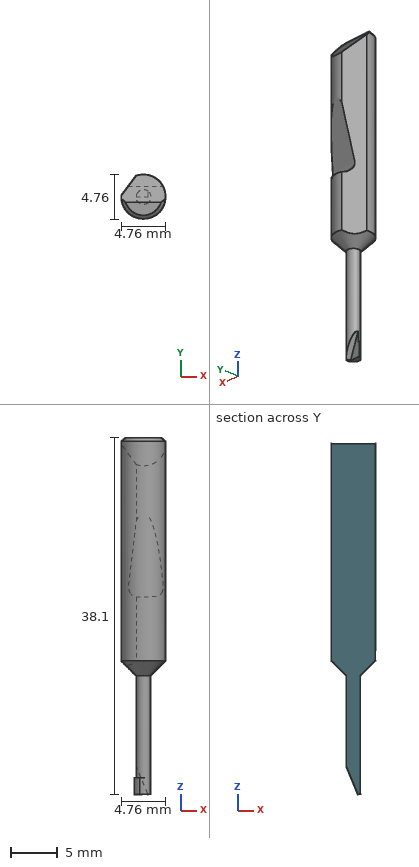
import cadquery as cq
import math


total_length = 38.1
shank_diameter = 4.7625
shank_radius = shank_diameter / 2
neck_length = 12.7
neck_diameter = 1.57
neck_radius = neck_diameter / 2
cone_height = shank_radius - neck_radius
cone_top = neck_length + cone_height
end_chamfer = 0.4

flat_distance = 1.974
flat_direction = 143.0

bevel_start_y = -0.6

notch_top = 30.1
notch_bottom = 21.15
notch_slope = 9.1
notch_corner_radius = 1.1

tip_reach = 0.98
head_height = 1.82
nose_radius = 1.5
nose_end_x = -0.36
clearance_distance = 0.758
clearance_tilt = 8.5
end_relief = 2.0

ramp_top = 3.05
ramp_angle = 22.5

margin = 1.0


def make_bar():
    """Shank, cone and neck turned about Z."""
    profile = [
        (0, 0),
        (neck_radius, 0),
        (neck_radius, neck_length),
        (shank_radius, cone_top),
        (shank_radius, total_length - end_chamfer),
        (shank_radius - end_chamfer, total_length),
        (0, total_length),
    ]
    return cq.Workplane("XZ").polyline(profile).close().revolve(360, (0, 0), (0, 1))


def make_flat_cutter():
    """Block that leaves the flat along the shank."""
    return (
        cq.Workplane("XY")
        .box(shank_diameter, 2 * shank_diameter, total_length, centered=(False, True, False))
        .translate((flat_distance, 0, 0))
        .rotate((0, 0, 0), (0, 0, 1), flat_direction)
    )


def extrude_across_x(points):
    """Prism with a Y-Z outline, long enough to pass through the shank along X."""
    return cq.Workplane("YZ").polyline(points).close().extrude(shank_diameter, both=True)


def make_bevel_cutter():
    """Wedge that bevels the top end at 45 degrees."""
    outer_y = shank_radius + margin
    drop = outer_y - bevel_start_y
    return extrude_across_x(
        [
            (bevel_start_y - margin, total_length + margin),
            (outer_y, total_length + margin),
            (outer_y, total_length - drop),
        ]
    )


def make_notch_cutter():
    """Wedge with a sloping floor, a level lower wall and a rounded inner corner."""
    slope = math.tan(math.radians(notch_slope))
    floor_y = shank_radius - (notch_top - notch_bottom) * slope
    outer_y = shank_radius + margin
    wedge = extrude_across_x(
        [
            (floor_y, notch_bottom),
            (outer_y, notch_bottom),
            (outer_y, notch_top + margin / slope),
        ]
    )
    return wedge.edges("|X").edges("<Y").fillet(notch_corner_radius)


def clearance_flat_y(x):
    """Y of the clearance flat at a given X."""
    tilt = math.radians(clearance_tilt)
    return -(clearance_distance + x * math.sin(tilt)) / math.cos(tilt)


def make_head():
    """Cutting nose on the -Y side of the rake face, with an arc from the tip to the clearance flat."""
    nose_end_y = clearance_flat_y(nose_end_x)
    chord_x = nose_end_x + tip_reach
    chord = math.hypot(chord_x, nose_end_y)
    sagitta = nose_radius - math.sqrt(nose_radius**2 - (chord / 2) ** 2)
    arc_middle = (
        -tip_reach + chord_x / 2 + sagitta * nose_end_y / chord,
        nose_end_y / 2 - sagitta * chord_x / chord,
    )
    return (
        cq.Workplane("XY")
        .moveTo(-tip_reach, 0)
        .threePointArc(arc_middle, (nose_end_x, nose_end_y))
        .lineTo(0, clearance_flat_y(0))
        .lineTo(0, 0)
        .close()
        .extrude(head_height)
    )


def make_clearance_cutter():
    """Block that continues the clearance flat across the neck at head height."""
    return (
        cq.Workplane("XY")
        .box(2 * shank_diameter, margin, head_height, centered=(True, False, False))
        .translate((0, -clearance_distance - margin, 0))
        .rotate((0, 0, 0), (0, 0, 1), -clearance_tilt)
    )


def make_ramp_cutter():
    """Wedge above the rake face (Y > 0) with a ramp running down towards +X."""
    slope = math.tan(math.radians(ramp_angle))
    ramp_run = (ramp_top + margin) * slope
    margin_run = margin * slope
    outline = [
        (-neck_radius - margin_run, ramp_top + margin),
        (-neck_radius - margin_run, -margin),
        (-neck_radius + ramp_run, -margin),
    ]
    return cq.Workplane("XZ").polyline(outline).close().extrude(-shank_radius)


def make_end_relief_cutter():
    """Block under the end face, tilted so that only the cutting tip reaches Z = 0."""
    tip = (-tip_reach, 0, 0)
    return (
        cq.Workplane("XY")
        .box(2 * shank_diameter, 2 * shank_diameter, margin, centered=(True, True, False))
        .translate((-tip_reach, 0, -margin))
        .rotate(tip, (-tip_reach, 1, 0), -end_relief)
        .rotate(tip, (-tip_reach + 1, 0, 0), -end_relief)
    )


result = (
    make_bar()
    .cut(make_flat_cutter())
    .cut(make_bevel_cutter())
    .cut(make_notch_cutter())
    .cut(make_ramp_cutter())
    .cut(make_clearance_cutter())
    .union(make_head())
    .cut(make_end_relief_cutter())
)